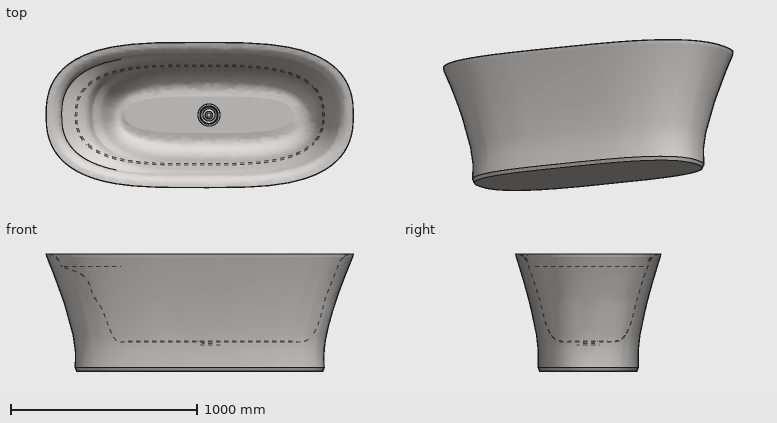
import cadquery as cq
import math

LENGTH = 1651.0
WIDTH = 781.0
HEIGHT = 630.0

END_POWER = 3.4
SIDE_POWER = 2.45
POINTS_PER_QUARTER = 12

BASE_HALF_LENGTH = 669.0
BASE_HALF_WIDTH = 269.0
BASE_HEIGHT = 115.0
BASE_BEVEL_HEIGHT = 20.0
BASE_BEVEL_INSET = 8.0
FLARE_POWER = 1.4
FLARE_STEPS = 6

LIP_HEIGHT = 20.0
LIP_OVERHANG = 5.0
LIP_TOP_WIDTH = 3.0

ROLL_SECTIONS = [
    (HEIGHT, LIP_TOP_WIDTH - LENGTH / 2, LENGTH / 2 - LIP_TOP_WIDTH, WIDTH / 2 - LIP_TOP_WIDTH),
    (620.0, -785.0, 785.0, 353.0),
    (561.0, -741.0, 741.0, 320.0),
]
WALL_SECTIONS = [
    ROLL_SECTIONS[-1],
    (543.0, -680.0, 733.0, 314.0),
    (515.0, -627.0, 721.0, 302.0),
    (465.0, -591.0, 703.0, 285.0),
    (385.0, -558.0, 672.0, 261.0),
]
FLOOR_SECTIONS = [
    WALL_SECTIONS[-1],
    (248.0, -492.0, 634.0, 226.0),
    (182.0, -462.0, 595.0, 190.0),
    (162.0, -403.0, 505.0, 99.0),
]
FLOOR_HEIGHT = FLOOR_SECTIONS[-1][0]

DRAIN_X = 50.0
FLANGE_RADIUS = 60.0
FLANGE_DEPTH = 20.0
BEAD_RADIUS = 50.0
BEAD_STEP = 2.0
DISH_RADIUS = 45.0
DISH_DEPTH = 13.0
BORE_RADIUS = 33.0

PLUG_SHOULDER_HEIGHT = 8.0
PLUG_TOP_HEIGHT = 18.0
PLUG_TOP_RADIUS = 20.0
PLUG_DIMPLE_RADIUS = 12.0
PLUG_DIMPLE_DEPTH = 3.0


def oval(height, head_x, foot_x, half_width):
    """Closed oval wire at a height, spanning head_x to foot_x along X."""
    centre_x = (head_x + foot_x) / 2
    half_length = (foot_x - head_x) / 2
    points = []
    for step in range(4 * POINTS_PER_QUARTER):
        angle = math.pi / 2 * step / POINTS_PER_QUARTER
        cosine = math.cos(angle)
        sine = math.sin(angle)
        x = half_length * math.copysign(abs(cosine) ** (2 / END_POWER), cosine)
        y = half_width * math.copysign(abs(sine) ** (2 / SIDE_POWER), sine)
        points.append(cq.Vector(centre_x + x, y, height))
    return cq.Wire.assembleEdges([cq.Edge.makeSpline(points, periodic=True)])


def centred_oval(height, half_length, half_width):
    return oval(height, -half_length, half_length, half_width)


def loft(sections):
    return cq.Workplane(cq.Solid.makeLoft([oval(*section) for section in sections]))


def outer_form():
    """Bevelled base, flared wall and lip band, filled solid."""
    base = centred_oval(BASE_BEVEL_HEIGHT, BASE_HALF_LENGTH, BASE_HALF_WIDTH)
    sole = centred_oval(0, BASE_HALF_LENGTH - BASE_BEVEL_INSET, BASE_HALF_WIDTH - BASE_BEVEL_INSET)
    bevel = cq.Solid.makeLoft([sole, base], True)

    lip_base = HEIGHT - LIP_HEIGHT
    end_flare = LENGTH / 2 - LIP_OVERHANG - BASE_HALF_LENGTH
    side_flare = WIDTH / 2 - LIP_OVERHANG - BASE_HALF_WIDTH
    wall_sections = [base]
    for step in range(FLARE_STEPS + 1):
        rise = step / FLARE_STEPS
        spread = rise ** FLARE_POWER
        wall_sections.append(
            centred_oval(
                BASE_HEIGHT + rise * (lip_base - BASE_HEIGHT),
                BASE_HALF_LENGTH + spread * end_flare,
                BASE_HALF_WIDTH + spread * side_flare,
            )
        )
    wall = cq.Solid.makeLoft(wall_sections)

    lip_top = centred_oval(HEIGHT, LENGTH / 2, WIDTH / 2)
    lip = cq.Solid.makeLoft([wall_sections[-1], lip_top], True)
    return cq.Workplane(bevel).union(cq.Workplane(wall)).union(cq.Workplane(lip))


def floor_cylinder(radius, bottom, top):
    """Upright cylinder on the drain axis, with heights relative to the basin floor."""
    return cq.Workplane("XY", origin=(DRAIN_X, 0, FLOOR_HEIGHT + bottom)).circle(radius).extrude(top - bottom)


def floor_revolve(profile):
    """Turn a (radius, height above the basin floor) profile about the drain axis."""
    return (
        cq.Workplane("XZ", origin=(DRAIN_X, 0, FLOOR_HEIGHT))
        .polyline(profile)
        .close()
        .revolve(360, (0, 0), (0, 1))
    )


def make_tub():
    tub = outer_form()
    for sections in (ROLL_SECTIONS, WALL_SECTIONS, FLOOR_SECTIONS):
        tub = tub.cut(loft(sections))
    return tub.cut(floor_cylinder(FLANGE_RADIUS, -FLANGE_DEPTH, 0))


def make_drain_flange():
    """Flush ring with a shallow step and a conical dish running down to its bore."""
    return floor_revolve([
        (BORE_RADIUS, -FLANGE_DEPTH),
        (FLANGE_RADIUS, -FLANGE_DEPTH),
        (FLANGE_RADIUS, 0),
        (BEAD_RADIUS, 0),
        (BEAD_RADIUS, -BEAD_STEP),
        (DISH_RADIUS, -BEAD_STEP),
        (BORE_RADIUS, -DISH_DEPTH),
    ])


def make_plug():
    """Stopper filling the bore, with a conical shoulder and a dimpled flat top."""
    plug = floor_revolve([
        (0, -FLANGE_DEPTH),
        (BORE_RADIUS, -FLANGE_DEPTH),
        (BORE_RADIUS, PLUG_SHOULDER_HEIGHT - FLANGE_DEPTH),
        (PLUG_TOP_RADIUS, PLUG_TOP_HEIGHT - FLANGE_DEPTH),
        (0, PLUG_TOP_HEIGHT - FLANGE_DEPTH),
    ])
    top = PLUG_TOP_HEIGHT - FLANGE_DEPTH
    return plug.cut(floor_cylinder(PLUG_DIMPLE_RADIUS, top - PLUG_DIMPLE_DEPTH, top))


tub = make_tub()
drain_flange = make_drain_flange()
plug = make_plug()

result = cq.Compound.makeCompound([
    *tub.solids().vals(),
    *drain_flange.solids().vals(),
    *plug.solids().vals(),
])